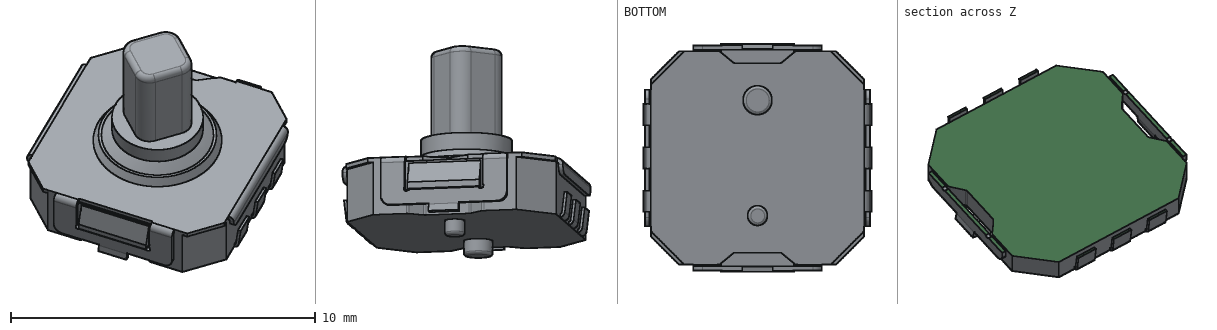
import cadquery as cq
import math


outer_size = 7.5
reach = outer_size / 2

body_width = 7.02
body_corner = 1.1
cover_corner = 0.93
cover_top = 1.905
cover_thickness = 0.15
body_top = cover_top - cover_thickness
body_half = body_width / 2

skirt_outer = 3.705
bend_radius = 0.2
skirt_corner_radius = 0.3
side_skirt_width = 4.5
side_skirt_bottom = 1.395
latch_skirt_width = 4.23
latch_skirt_bottom = 0.285

window_width = 2.625
window_inner = 3.46
window_bottom = 0.765
relief_radius = 0.08
relief_x = 1.25
relief_z = 0.8
wedge_width = 2.415
wedge_bottom = 0.79
wedge_crest = 1.005
wedge_top = 1.68
wedge_root = 0.075

foot_width = 1.005
foot_tip_thickness = 0.165
foot_tip_z = 0.02
foot_bend_z = 0.26

recess_mouth_width = 2.505
recess_floor_width = 1.53
recess_depth = 0.4
recess_rounding = 0.135

mark_width = 1.515
mark_tip_y = 2.96
mark_tip_radius = 0.25

terminal_width = 0.705
terminal_pitch = 1.425
terminal_thickness = 0.1
terminal_bend = 0.2
terminal_height = 0.85
terminal_lean = math.radians(6.7)
terminal_root = 3.3

dome_base_radius = 2.115
dome_ledge_outer = 1.94
dome_ledge_inner = 1.845
dome_ledge_z = 2.175
dome_base_centre_z = 0.67
dome_cap_centre_z = 0.29
collar_radius = 1.5
collar_bottom = 2.46
collar_top = 3.015
stem_top = 6.01
stem_side = 1.96
stem_corner_radius = 0.5
stem_top_fillet = 0.2

pin_length = 0.495
pin_fillet = 0.1
pin_offset = 1.9
front_pin_diameter = 0.95
rear_pin_diameter = 0.65


def octagon_plate(corner, bottom, top):
    """Square plate with chamfered vertical corners."""
    plate = cq.Workplane("XY").workplane(offset=bottom).rect(body_width, body_width).extrude(top - bottom)
    return plate.edges("|Z").chamfer(corner)


def spread(profile, width):
    """Extrude a profile drawn in the XZ plane symmetrically along Y."""
    return profile.extrude(width / 2, both=True)


def turned(shape, angle):
    """Turn a feature made on the +X side about the Z axis."""
    return shape.rotate((0, 0, 0), (0, 0, 1), angle)


def arc_middle(centre_x, centre_z, radius, start, end):
    """Point halfway along an arc, given its end angles in radians."""
    middle = (start + end) / 2
    return centre_x + radius * math.cos(middle), centre_z + radius * math.sin(middle)


def skirt(width, bottom):
    """Strip bent down from the cover on the +X side, with rounded lower corners."""
    bend_x = skirt_outer - bend_radius
    bend_z = cover_top - bend_radius
    inner_radius = bend_radius - cover_thickness
    skirt_inner = skirt_outer - cover_thickness
    profile = (
        cq.Workplane("XZ")
        .moveTo(bend_x, cover_top)
        .threePointArc(arc_middle(bend_x, bend_z, bend_radius, math.pi / 2, 0), (skirt_outer, bend_z))
        .lineTo(skirt_outer, bottom)
        .lineTo(skirt_inner, bottom)
        .lineTo(skirt_inner, bend_z)
        .threePointArc(arc_middle(bend_x, bend_z, inner_radius, 0, math.pi / 2), (bend_x, body_top))
        .close()
    )
    return spread(profile, width).edges("|X and <Z").fillet(skirt_corner_radius)


def foot():
    """Flared foot continuing the latch skirt downward and outward."""
    profile = cq.Workplane("XZ").polyline([
        (skirt_outer - cover_thickness, latch_skirt_bottom),
        (skirt_outer, latch_skirt_bottom),
        (skirt_outer, foot_bend_z),
        (reach, foot_tip_z),
        (reach - foot_tip_thickness, 0),
        (skirt_outer - cover_thickness, foot_bend_z),
    ]).close()
    return spread(profile, foot_width)


def latch_window():
    """Opening through the latch skirt and cover edge, with round reliefs in its lower corners."""
    depth = reach - window_inner
    window = cq.Workplane("XY").box(
        depth, window_width, cover_top - window_bottom, centered=(False, True, False)
    ).translate((window_inner, 0, window_bottom))
    reliefs = (
        cq.Workplane("YZ", origin=(window_inner, 0, 0))
        .pushPoints([(-relief_x, relief_z), (relief_x, relief_z)])
        .circle(relief_radius)
        .extrude(depth)
    )
    return window.union(reliefs)


def wedge():
    """Snap wedge moulded on the housing, projecting through the latch window."""
    profile = cq.Workplane("XZ").polyline([
        (body_half - wedge_root, wedge_bottom),
        (reach, wedge_bottom),
        (reach, wedge_crest),
        (body_half, wedge_top),
        (body_half - wedge_root, wedge_top),
    ]).close()
    return spread(profile, wedge_width)


def recess():
    """Tapered recess running from the underside up to the wedge."""
    floor_x = body_half - recess_depth
    half_mouth = recess_mouth_width / 2
    half_floor = recess_floor_width / 2
    overshoot = 0.375
    pocket = (
        cq.Workplane("XY")
        .polyline([
            (body_half + overshoot, -half_mouth - overshoot),
            (body_half, -half_mouth - overshoot),
            (body_half, -half_mouth),
            (floor_x, -half_floor),
            (floor_x, half_floor),
            (body_half, half_mouth),
            (body_half, half_mouth + overshoot),
            (body_half + overshoot, half_mouth + overshoot),
        ])
        .close()
        .extrude(wedge_bottom)
    )
    margin = 0.075
    bends = cq.selectors.BoxSelector(
        (floor_x - margin, -half_mouth - margin, 0),
        (body_half + margin, half_mouth + margin, wedge_bottom),
    )
    return pocket.edges("|Z").edges(bends).fillet(recess_rounding)


def direction_mark():
    """Triangular notch through the cover thickness at the +Y edge."""
    notch = (
        cq.Workplane("XY")
        .workplane(offset=body_top)
        .polyline([(-mark_width / 2, window_inner), (0, mark_tip_y), (mark_width / 2, window_inner)])
        .close()
        .extrude(cover_thickness)
    )
    return notch.edges("|Z and <Y").fillet(mark_tip_radius)


def terminal():
    """Gull-shaped solder terminal on the +X side."""
    cos_lean = math.cos(terminal_lean)
    sin_lean = math.sin(terminal_lean)
    inner_radius = terminal_bend - terminal_thickness
    bend_end_z = terminal_bend * (1 - sin_lean)
    bend_end_x = reach - (terminal_height - bend_end_z) * math.tan(terminal_lean)
    bend_x = bend_end_x - terminal_bend * cos_lean
    start = -math.pi / 2
    profile = (
        cq.Workplane("XZ")
        .moveTo(terminal_root, 0)
        .lineTo(bend_x, 0)
        .threePointArc(
            arc_middle(bend_x, terminal_bend, terminal_bend, start, -terminal_lean),
            (bend_end_x, bend_end_z),
        )
        .lineTo(reach, terminal_height)
        .lineTo(reach - terminal_thickness / cos_lean, terminal_height)
        .lineTo(bend_x + inner_radius * cos_lean, terminal_bend - inner_radius * sin_lean)
        .threePointArc(
            arc_middle(bend_x, terminal_bend, inner_radius, -terminal_lean, start),
            (bend_x, terminal_thickness),
        )
        .lineTo(terminal_root, terminal_thickness)
        .close()
    )
    return spread(profile, terminal_width)


def dome_arc_middle(centre_z, lower, upper):
    """Middle of a meridian arc between two (radius, z) points, centred on the axis."""
    start = math.atan2(lower[1] - centre_z, lower[0])
    end = math.atan2(upper[1] - centre_z, upper[0])
    return arc_middle(0, centre_z, math.hypot(lower[0], lower[1] - centre_z), start, end)


def dome_and_collar():
    """Two stepped spherical bands carrying the cylindrical collar."""
    base = (dome_base_radius, cover_top)
    ledge_outer = (dome_ledge_outer, dome_ledge_z)
    ledge_inner = (dome_ledge_inner, dome_ledge_z)
    collar_foot = (collar_radius, collar_bottom)
    return (
        cq.Workplane("XZ")
        .moveTo(0, body_top)
        .lineTo(dome_base_radius, body_top)
        .lineTo(*base)
        .threePointArc(dome_arc_middle(dome_base_centre_z, base, ledge_outer), ledge_outer)
        .lineTo(*ledge_inner)
        .threePointArc(dome_arc_middle(dome_cap_centre_z, ledge_inner, collar_foot), collar_foot)
        .lineTo(collar_radius, collar_top)
        .lineTo(0, collar_top)
        .close()
        .revolve(360, (0, 0, 0), (0, 1, 0))
    )


def stem():
    """Square stem set diagonally, with rounded corners and a rounded top rim."""
    column = (
        cq.Workplane("XY")
        .workplane(offset=collar_bottom)
        .rect(stem_side, stem_side)
        .extrude(stem_top - collar_bottom)
        .edges("|Z").fillet(stem_corner_radius)
        .faces(">Z").edges().fillet(stem_top_fillet)
    )
    return turned(column, 45)


def pin(diameter, y):
    """Round locating pin below the housing with a rounded tip."""
    post = cq.Workplane("XY").center(0, y).circle(diameter / 2).extrude(-pin_length)
    return post.faces("<Z").edges().fillet(pin_fillet)


housing = octagon_plate(body_corner, 0, body_top)
for angle in (90, 270):
    housing = housing.cut(turned(recess(), angle)).union(turned(wedge(), angle))
for angle in (0, 180):
    for row in (-1, 0, 1):
        housing = housing.union(turned(terminal().translate((0, row * terminal_pitch, 0)), angle))
housing = housing.union(pin(front_pin_diameter, -pin_offset)).union(pin(rear_pin_diameter, pin_offset))

cover = octagon_plate(cover_corner, body_top, cover_top)
for angle in (0, 180):
    cover = cover.union(turned(skirt(side_skirt_width, side_skirt_bottom), angle))
for angle in (90, 270):
    latch_skirt = skirt(latch_skirt_width, latch_skirt_bottom).union(foot())
    cover = cover.union(turned(latch_skirt, angle)).cut(turned(latch_window(), angle))
cover = cover.cut(direction_mark())

result = housing.union(cover).union(dome_and_collar()).union(stem())